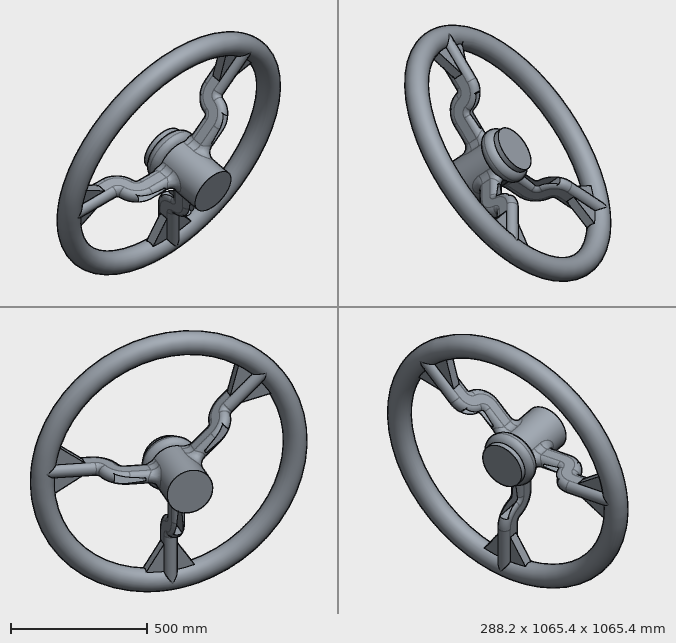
import cadquery as cq
import math

overall_length = 288.16
rim_outer_radius = 532.7

tube_radius = 44.0
rim_radius = rim_outer_radius - tube_radius

hub_radius = 88.0
hub_face_x = -35.0
hub_end_x = overall_length - tube_radius
collar_start_x = -14.0
collar_end_x = 47.0
collar_height = 20.0

spoke_angles = (0.0, 132.0, 264.0)
spoke_width = 50.0
spoke_depth = 2 * tube_radius
crank_offset = 85.5
crank_start = 194.0
crank_end = 297.0
root_fillet = 35.0

window_start = 132.0
window_end = 249.0
window_tip_radius = 6.5
window_end_width = 34.5

gusset_start = 334.0
gusset_corner_radial = 437.0
gusset_corner_half_width = 92.0
gusset_thickness = 36.0


def torus_about_x(ring_radius, section_radius, centre_x):
    return cq.Workplane("XY").add(
        cq.Solid.makeTorus(ring_radius, section_radius, cq.Vector(centre_x, 0, 0), cq.Vector(1, 0, 0))
    )


def make_rim():
    return torus_about_x(rim_radius, tube_radius, 0)


def make_collar():
    """Torus sunk in the hub so that only a low bulge stands out."""
    half_width = (collar_end_x - collar_start_x) / 2
    section_radius = (half_width**2 + collar_height**2) / (2 * collar_height)
    ring_radius = hub_radius + collar_height - section_radius
    return torus_about_x(ring_radius, section_radius, collar_start_x + half_width)


def to_spoke(shape, angle):
    """Turn a shape built along -Z to the given spoke direction."""
    return shape.rotate((0, 0, 0), (1, 0, 0), angle)


def spoke_section(radial, x):
    return cq.Workplane("XY", origin=(x, 0, -radial)).slot2D(spoke_depth, spoke_width)


def make_spoke_root():
    """Straight inner stretch, from the hub axis out to the crank."""
    return spoke_section(0, crank_offset).extrude(-crank_start)


def make_cranked_spoke():
    """Two equal, opposite arcs shifting the spoke along X, then a straight run into the rim."""
    crank_length = crank_end - crank_start
    bend_angle = 2 * math.atan(crank_offset / crank_length)
    bend_radius = crank_length / (2 * math.sin(bend_angle))
    half_sine = bend_radius * math.sin(bend_angle / 2)
    half_sag = bend_radius * (1 - math.cos(bend_angle / 2))
    path = (
        cq.Workplane("XZ")
        .moveTo(crank_offset, -crank_start)
        .threePointArc(
            (crank_offset - half_sag, -crank_start - half_sine),
            (crank_offset / 2, -(crank_start + crank_end) / 2),
        )
        .threePointArc((half_sag, -crank_end + half_sine), (0, -crank_end))
        .lineTo(0, -rim_radius)
    )
    return spoke_section(crank_start, crank_offset).sweep(path)


def make_window():
    """Wedge whose sides are tangent to its round tip, running right through along X."""
    tip_centre = window_start + window_tip_radius
    length = window_end - tip_centre
    half_width = window_end_width / 2
    corner_distance = math.hypot(length, half_width)
    taper = math.atan2(half_width, length) - math.asin(window_tip_radius / corner_distance)
    tangent_y = window_tip_radius * math.cos(taper)
    tangent_z = -tip_centre + window_tip_radius * math.sin(taper)
    return (
        cq.Workplane("YZ")
        .moveTo(-half_width, -window_end)
        .lineTo(-tangent_y, tangent_z)
        .threePointArc((0, -window_start), (tangent_y, tangent_z))
        .lineTo(half_width, -window_end)
        .close()
        .extrude(overall_length, both=True)
    )


def make_gusset():
    """Plate that widens from the spoke flanks and ends inside the rim tube."""
    half_spoke = spoke_width / 2
    slope = (gusset_corner_half_width - half_spoke) / (gusset_corner_radial - gusset_start)
    apex = gusset_start - half_spoke / slope
    base = rim_radius - tube_radius / 2
    base_half_width = slope * (base - apex)
    return (
        cq.Workplane("YZ")
        .polyline([(0, -apex), (base_half_width, -base), (-base_half_width, -base)])
        .close()
        .extrude(gusset_thickness / 2, both=True)
    )


def make_hub():
    """Hub cylinder with the three spoke roots blended into it."""
    hub_face = cq.Workplane("YZ", origin=(hub_face_x, 0, 0))
    hub = hub_face.circle(hub_radius).extrude(hub_end_x - hub_face_x)
    for angle in spoke_angles:
        hub = hub.union(to_spoke(make_spoke_root(), angle))
    root_zone = cq.selectors.BoxSelector(
        (crank_offset - spoke_depth, -hub_radius, -hub_radius),
        (crank_offset + spoke_depth, hub_radius, hub_radius),
        boundingbox=True,
    )
    return hub.edges(root_zone).fillet(root_fillet)


result = make_hub().union(make_collar())
for angle in spoke_angles:
    result = result.union(to_spoke(make_cranked_spoke(), angle))
    result = result.union(to_spoke(make_gusset(), angle))
result = result.union(make_rim())
for angle in spoke_angles:
    result = result.cut(to_spoke(make_window(), angle))